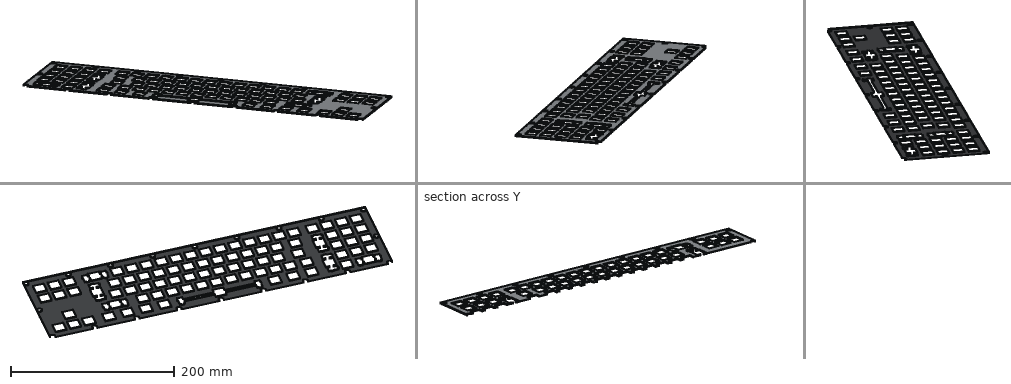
import cadquery as cq

plate_length = 442.5
plate_width = 108.0
plate_thickness = 1.5

screw_radius = 3.28
screw_side_inset = 3.45
screw_top_inset = 3.4
screw_bottom_inset = 2.0
screw_columns = 9
screw_span_x = plate_length - 2 * screw_side_inset
screw_span_y = plate_width - screw_top_inset - screw_bottom_inset
middle_y = (screw_bottom_inset - screw_top_inset) / 2

column_span = 409.5
column_span_keys = 21.5
pitch = column_span / column_span_keys
cell_rim = 2.52
switch_size = pitch - 2 * cell_rim
row_count = 5

stab_half_width = 3.4
stab_top = 5.8
stab_spacing = 24.0
space_stab_spacing = 100.0
foot_half_width = 1.5
foot_bottom = 8.0
foot_depth = 1.2
stab_bottom = foot_bottom - foot_depth
ear_depth = 0.85
ear_top = 2.3
ear_bottom = 0.5
half_channel = 2.3

main_left = 3.75
main_right = 18.75
nav_columns = [19.5, 20.5, 21.5]
pad_columns = [0, 1, 2]
modifier = 1.25
backspace = 2
tab = 1.5
caps_lock = 1.75
right_shift = 2.75
modifier_columns_left = [main_left + modifier * (i + 0.5) for i in range(3)]
modifier_columns_right = [main_right - modifier * (i + 0.5) for i in range(4)]
space_column = (main_left + 3 * modifier + main_right - 4 * modifier) / 2


def letter_keys(first_key_width, count):
    """Columns of a main-block row: one key of the given width, then single-width keys."""
    first_letter = main_left + first_key_width + 0.5
    return [main_left + first_key_width / 2] + [first_letter + i for i in range(count)]


key_rows = [
    pad_columns + [3] + letter_keys(1, 12) + nav_columns,
    pad_columns + letter_keys(tab, 12) + nav_columns,
    pad_columns + letter_keys(caps_lock, 12),
    pad_columns + letter_keys(modifier, 11) + nav_columns[1:2],
    pad_columns[2:] + modifier_columns_left + modifier_columns_right + nav_columns,
]

wide_keys = [
    (main_right - backspace / 2, 0, stab_spacing, 0),
    (main_right - right_shift / 2, 3, stab_spacing, 0),
    (0.5, 4, stab_spacing, 0),
    (space_column, 4, space_stab_spacing, 0),
    (3, 1.5, stab_spacing, -90),
    (3, 3.5, stab_spacing, -90),
    (main_right - modifier / 2, 1.5, stab_spacing, -90),
]


def key_position(column, row):
    x = column * pitch - column_span / 2
    y = ((row_count - 1) / 2 - row) * pitch + middle_y
    return (x, y)


def box_between(x0, x1, y0, y1):
    """Cutter through the plate, spanning the given x and y limits."""
    block = cq.Workplane("XY").box(x1 - x0, y1 - y0, 2 * plate_thickness)
    return block.translate(((x0 + x1) / 2, (y0 + y1) / 2, 0))


def wide_key_cutter(spacing):
    """Switch opening with a stabilizer pocket on each side, centred on the origin."""
    middle = spacing / 2
    outer = middle + stab_half_width
    pocket = box_between(middle - stab_half_width, outer, -stab_bottom, stab_top)
    foot = box_between(middle - foot_half_width, middle + foot_half_width, -foot_bottom, 0)
    ear = box_between(middle, outer + ear_depth, -ear_bottom, ear_top)
    channel = box_between(0, middle, -half_channel, half_channel)
    side = pocket.union(foot).union(ear).union(channel)
    half_switch = switch_size / 2
    opening = box_between(-half_switch, half_switch, -half_switch, half_switch)
    return opening.union(side).union(side.mirror("YZ"))


def screw_positions():
    step = screw_span_x / (screw_columns - 1)
    columns = [i * step - screw_span_x / 2 for i in range(screw_columns)]
    points = []
    for x in columns:
        points.append((x, middle_y + screw_span_y / 2))
        points.append((x, middle_y - screw_span_y / 2))
    for x in (columns[0], columns[-1]):
        points.append((x, middle_y))
    return points


plate = cq.Workplane("XY").box(plate_length, plate_width, plate_thickness)

switch_points = [
    key_position(column, row)
    for row, columns in enumerate(key_rows)
    for column in columns
]
switches = cq.Workplane("XY").pushPoints(switch_points).rect(switch_size, switch_size)
plate = plate.cut(switches.extrude(plate_thickness, both=True))

screws = cq.Workplane("XY").pushPoints(screw_positions()).circle(screw_radius)
plate = plate.cut(screws.extrude(plate_thickness, both=True))

corner = box_between(
    -plate_length / 2,
    -screw_span_x / 2,
    -plate_width / 2,
    screw_bottom_inset - plate_width / 2,
)
plate = plate.cut(corner).cut(corner.mirror("YZ"))

for column, row, spacing, turn in wide_keys:
    cutter = wide_key_cutter(spacing).rotate((0, 0, 0), (0, 0, 1), turn)
    x, y = key_position(column, row)
    plate = plate.cut(cutter.translate((x, y, 0)))

result = plate